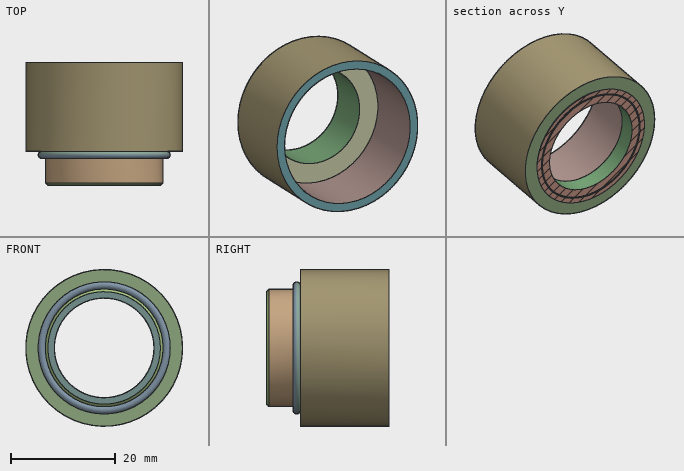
import cadquery as cq

body_diameter = 30.0
body_length = 17.0
spigot_diameter = 22.5
spigot_length = 6.5
spigot_chamfer = 0.5
bore_diameter = 19.0
socket_diameter = 26.75
socket_depth = 14.0
ring_section_diameter = 1.4
ring_overlap = 0.02

shoulder_y = 0.0
body_end_y = shoulder_y + body_length
spigot_end_y = shoulder_y - spigot_length
socket_floor_y = body_end_y - socket_depth

ring_section_radius = ring_section_diameter / 2
ring_center_radius = spigot_diameter / 2 + ring_section_radius - ring_overlap
ring_center_y = shoulder_y - ring_section_radius + ring_overlap


def cylinder_along_y(diameter, start_y, end_y):
    """Solid cylinder on the Y axis between two Y positions."""
    return (
        cq.Workplane("XZ", origin=(0, end_y, 0))
        .circle(diameter / 2)
        .extrude(end_y - start_y)
    )


def make_body():
    """Wide cylinder behind the shoulder."""
    return cylinder_along_y(body_diameter, shoulder_y, body_end_y)


def make_spigot():
    """Narrow end with a chamfered outer rim, continued back inside the body."""
    spigot = cylinder_along_y(spigot_diameter, spigot_end_y, body_end_y)
    return spigot.faces("<Y").edges().chamfer(spigot_chamfer)


def make_sealing_ring():
    """Round-section ring around the spigot, seated against the shoulder."""
    axis_start = (-ring_center_radius, 0)
    axis_end = (-ring_center_radius, 1)
    return (
        cq.Workplane("XY")
        .center(ring_center_radius, ring_center_y)
        .circle(ring_section_radius)
        .revolve(360, axis_start, axis_end)
    )


def make_bore():
    """Through bore of the whole sleeve."""
    return cylinder_along_y(bore_diameter, spigot_end_y, body_end_y)


def make_socket():
    """Wider bore entering from the body's open end."""
    return cylinder_along_y(socket_diameter, socket_floor_y, body_end_y)


outer_shape = make_body().union(make_spigot()).union(make_sealing_ring())
result = outer_shape.cut(make_bore()).cut(make_socket())